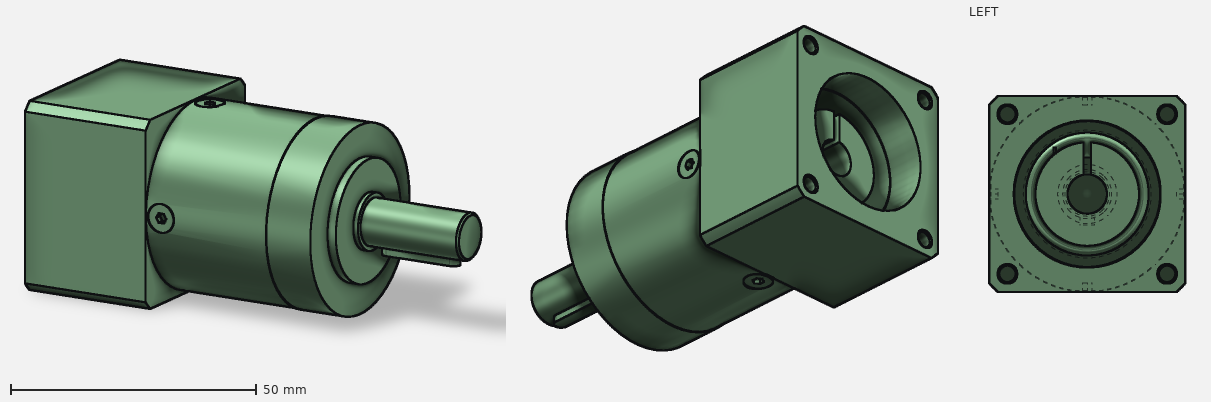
import cadquery as cq
import math

flange_length = 28.5
body_end = 56.9
head_end = 67.4
pilot_end = 69.4
collar_end = 70.5
total_length = 93.5

flange_width = 40.0
flange_corner_diameter = 54.0
bolt_spacing = 32.5
bolt_hole_diameter = 3.4
bolt_mouth_diameter = 4.0
bolt_mouth_angle = 45
bolt_hole_depth = 14.0

body_diameter = 39.7
head_diameter = 40.0
pilot_diameter = 26.1
collar_diameter = 12.1
shaft_diameter = 10.0
shaft_chamfer = 0.5

key_start = 72.9
key_length = 18.0
key_width = 3.0
key_height = 3.0
key_outer_face = 6.4

plug_count = 4
plug_position = 32.0
plug_diameter = 6.1
plug_radius = plug_diameter / 2
body_radius = body_diameter / 2
plug_face = math.sqrt(body_radius**2 - plug_radius**2)
socket_sides = 6
socket_corner_diameter = 2.3
socket_depth = 1.5

recess_diameter = 29.7
recess_depth = 20.6
mouth_diameter = 30.0
mouth_depth = 8.8

hub_diameter = 21.1
hub_face = 9.1
shoulder_face = 13.1
shoulder_diameter = 25.1
shoulder_fillet = 1.1
bore_diameter = 8.0
bore_end = 26.2
slit_width = 1.5
slit_step_radius = 7.5
slit_inner_end = 18.7
notch_width = 0.6
notch_height = 1.2
notch_y = 6.6
notch_z = 8.9
notch_depth = 0.9


def cylinder(diameter, start, end):
    """Cylinder about the X axis between two stations."""
    return cq.Workplane("YZ", origin=(start, 0, 0)).circle(diameter / 2).extrude(end - start)


def block(start, end, y_mid, width, z_low, z_high):
    """Box between two X stations, centred on y_mid."""
    shape = cq.Workplane("XY").box(end - start, width, z_high - z_low, centered=(False, True, False))
    return shape.translate((start, y_mid, z_low))


def make_flange():
    """Square block with its four long edges turned to a common diameter."""
    square = cq.Workplane("YZ").rect(flange_width, flange_width).extrude(flange_length)
    return square.intersect(cylinder(flange_corner_diameter, 0, flange_length))


def make_output_side():
    """Gear body, head, pilot, collar and shaft."""
    shaft = cylinder(shaft_diameter, pilot_end, total_length).faces(">X").chamfer(shaft_chamfer)
    return (
        cylinder(body_diameter, flange_length, body_end)
        .union(cylinder(head_diameter, body_end, head_end))
        .union(cylinder(pilot_diameter, head_end, pilot_end))
        .union(cylinder(collar_diameter, pilot_end, collar_end))
        .union(shaft)
    )


def make_key():
    """Round-ended key along the shaft."""
    key_middle = key_start + key_length / 2
    return (
        cq.Workplane("XY", origin=(key_middle, 0, -key_outer_face))
        .slot2D(key_length, key_width)
        .extrude(key_height)
    )


def make_plug_cut():
    """Flat seat and hexagon socket of the plug on the +Z side."""
    seat = (
        cq.Workplane("XY", origin=(plug_position, 0, plug_face))
        .circle(plug_radius)
        .extrude(body_radius - plug_face)
    )
    socket = (
        cq.Workplane("XY", origin=(plug_position, 0, plug_face))
        .polygon(socket_sides, socket_corner_diameter)
        .extrude(-socket_depth)
    )
    return seat.union(socket)


def make_bolt_holes():
    """Four blind holes with a chamfered mouth on the motor face."""
    radial_step = (bolt_mouth_diameter - bolt_hole_diameter) / 2
    mouth_chamfer = radial_step / math.tan(math.radians(bolt_mouth_angle))
    corners = cq.Workplane("YZ").rect(bolt_spacing, bolt_spacing, forConstruction=True).vertices()
    holes = corners.circle(bolt_hole_diameter / 2).extrude(bolt_hole_depth)
    mouths = corners.circle(bolt_mouth_diameter / 2).extrude(mouth_chamfer, taper=bolt_mouth_angle)
    return holes.union(mouths)


def make_hub():
    """Slit clamp hub on a rounded shoulder."""
    shoulder = cylinder(shoulder_diameter, shoulder_face, recess_depth)
    shoulder = shoulder.faces("<X").edges().fillet(shoulder_fillet)
    hub = cylinder(hub_diameter, hub_face, recess_depth).union(shoulder)
    outer_slit = block(hub_face, shoulder_face, 0, slit_width, 0, hub_diameter / 2)
    inner_slit = block(hub_face, slit_inner_end, 0, slit_width, 0, slit_step_radius)
    notch_low = notch_z - notch_height / 2
    notch = block(
        shoulder_face, shoulder_face + notch_depth, notch_y, notch_width, notch_low, notch_low + notch_height
    )
    return hub.cut(outer_slit).cut(inner_slit).cut(notch)


result = make_flange().union(make_output_side()).union(make_key())

plug_cut = make_plug_cut()
for index in range(plug_count):
    angle = index * 360 / plug_count
    result = result.cut(plug_cut.rotate((0, 0, 0), (1, 0, 0), angle))
result = result.cut(make_bolt_holes())

result = result.cut(cylinder(recess_diameter, 0, recess_depth))
result = result.cut(cylinder(mouth_diameter, 0, mouth_depth))
result = result.union(make_hub())
result = result.cut(cylinder(bore_diameter, hub_face, bore_end))